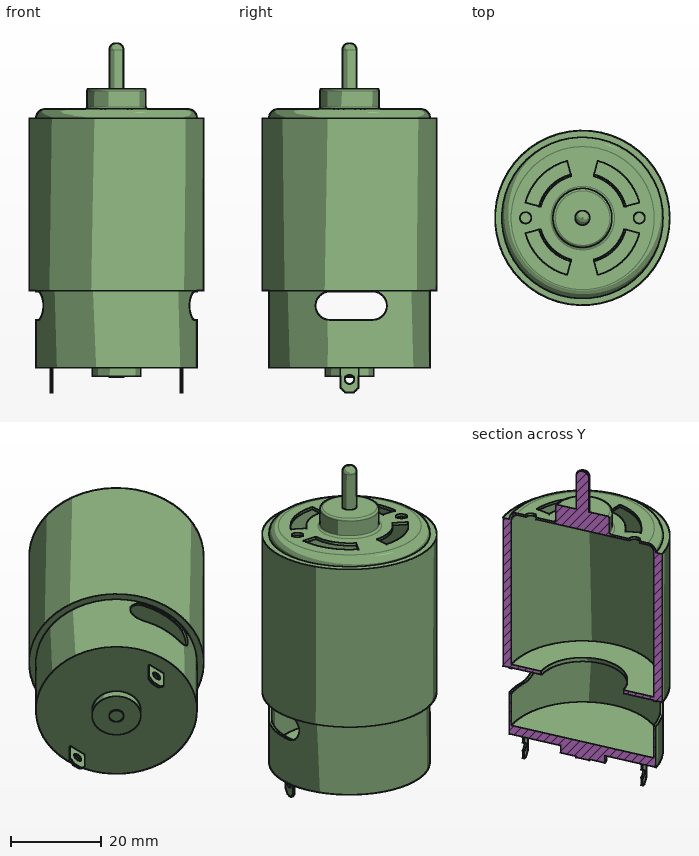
import cadquery as cq
import math

CAN_DIAMETER = 35.5
CAN_INNER_DIAMETER = 34.26
WALL_THICKNESS = (CAN_DIAMETER - CAN_INNER_DIAMETER) / 2
CAN_HEIGHT = 57.0
CAN_RIM_RADIUS = 2.0
REAR_CAP_THICKNESS = 2.4

RING_DIAMETER = 38.5
RING_BOTTOM = 17.0
RING_TOP = CAN_HEIGHT - CAN_RIM_RADIUS

BOSS_DIAMETER = 13.0
BOSS_HEIGHT = 4.5
BOSS_EDGE_RADIUS = 0.5

SHELF_BORE_DIAMETER = 19.8
SHELF_THICKNESS = 1.0

SHAFT_DIAMETER = 3.2
SHAFT_PROJECTION = 10.0
SHAFT_TIP_RADIUS = 1.5
SHAFT_REAR_PROJECTION = 2.1

REAR_BOSS_DIAMETER = 10.75
REAR_BOSS_HEIGHT = 1.85

VENT_INNER_RADIUS = 9.5
VENT_OUTER_RADIUS = 13.0
VENT_SPAN = 60.0
VENT_COUNT = 4
SCREW_HOLE_DIAMETER = 2.5
SCREW_HOLE_SPACING = 25.0

WINDOW_LENGTH = 15.65
WINDOW_HEIGHT = 6.2
WINDOW_Y_OFFSET = 0.38
WINDOW_RING_GAP = 0.2
WINDOW_TOP = RING_BOTTOM - WINDOW_RING_GAP

TERMINAL_OFFSET = 14.3
TERMINAL_THICKNESS = 0.5
TERMINAL_WIDTH = 4.0
TERMINAL_LENGTH = 5.45
TERMINAL_CHAMFER = 1.1
TERMINAL_HOLE_DIAMETER = 2.0
TERMINAL_HOLE_DROP = 2.5


def cylinder(diameter, bottom, top):
    """Cylinder about the Z axis between two heights."""
    return cq.Workplane("XY").workplane(offset=bottom).circle(diameter / 2).extrude(top - bottom)


def make_can():
    """Thin-walled can with its flux ring, closed by the front plate and the rear cap."""
    can = cylinder(CAN_DIAMETER, 0, CAN_HEIGHT).faces(">Z").edges().fillet(CAN_RIM_RADIUS)
    ring = cylinder(RING_DIAMETER, RING_BOTTOM, RING_TOP)
    cavity = cylinder(CAN_INNER_DIAMETER, REAR_CAP_THICKNESS, CAN_HEIGHT - WALL_THICKNESS)
    cavity = cavity.faces(">Z").edges().fillet(CAN_RIM_RADIUS - WALL_THICKNESS)
    return can.union(ring).cut(cavity).union(make_shelf())


def make_shelf():
    """Annular shelf; it runs into the can wall so that the two join."""
    shelf_top = RING_BOTTOM + SHELF_THICKNESS
    shelf = cylinder(CAN_DIAMETER, RING_BOTTOM, shelf_top)
    return shelf.cut(cylinder(SHELF_BORE_DIAMETER, RING_BOTTOM, shelf_top))


def polar_point(radius, angle):
    """XY point at a radius and an angle in degrees."""
    return (radius * math.cos(math.radians(angle)), radius * math.sin(math.radians(angle)))


def make_vent(middle_angle):
    """Cutter for one arc-shaped vent centered on an angle."""
    start = middle_angle - VENT_SPAN / 2
    end = middle_angle + VENT_SPAN / 2
    return (
        cq.Workplane("XY")
        .workplane(offset=CAN_HEIGHT - WALL_THICKNESS)
        .moveTo(*polar_point(VENT_INNER_RADIUS, start))
        .lineTo(*polar_point(VENT_OUTER_RADIUS, start))
        .threePointArc(polar_point(VENT_OUTER_RADIUS, middle_angle), polar_point(VENT_OUTER_RADIUS, end))
        .lineTo(*polar_point(VENT_INNER_RADIUS, end))
        .threePointArc(polar_point(VENT_INNER_RADIUS, middle_angle), polar_point(VENT_INNER_RADIUS, start))
        .close()
        .extrude(WALL_THICKNESS)
    )


def make_screw_holes():
    """Cutter for the two screw holes through the front plate."""
    return (
        cq.Workplane("XY")
        .workplane(offset=CAN_HEIGHT - WALL_THICKNESS)
        .pushPoints([(-SCREW_HOLE_SPACING / 2, 0), (SCREW_HOLE_SPACING / 2, 0)])
        .circle(SCREW_HOLE_DIAMETER / 2)
        .extrude(WALL_THICKNESS)
    )


def make_windows():
    """Cutter for the two opposite side windows."""
    return (
        cq.Workplane("YZ")
        .center(WINDOW_Y_OFFSET, WINDOW_TOP - WINDOW_HEIGHT / 2)
        .slot2D(WINDOW_LENGTH, WINDOW_HEIGHT)
        .extrude(CAN_DIAMETER / 2, both=True)
    )


def make_front_boss():
    """Front bearing boss with a concave flare at its foot, and the shaft."""
    boss_top = CAN_HEIGHT + BOSS_HEIGHT
    boss = cylinder(BOSS_DIAMETER, CAN_HEIGHT, boss_top).faces(">Z").edges().fillet(BOSS_EDGE_RADIUS)
    shaft = cylinder(SHAFT_DIAMETER, CAN_HEIGHT, boss_top + SHAFT_PROJECTION)
    flare_diameter = BOSS_DIAMETER + 2 * BOSS_EDGE_RADIUS
    flare = cylinder(flare_diameter, CAN_HEIGHT, CAN_HEIGHT + BOSS_EDGE_RADIUS)
    rounding_center = cq.Vector(0, 0, CAN_HEIGHT + BOSS_EDGE_RADIUS)
    rounding = cq.Solid.makeTorus(flare_diameter / 2, BOSS_EDGE_RADIUS, rounding_center)
    boss = boss.union(flare.cut(rounding))
    return boss.union(shaft.faces(">Z").edges().fillet(SHAFT_TIP_RADIUS))


def make_rear_boss():
    """Rear bearing boss and the end of the shaft."""
    boss = cylinder(REAR_BOSS_DIAMETER, -REAR_BOSS_HEIGHT, 0)
    return boss.union(cylinder(SHAFT_DIAMETER, -SHAFT_REAR_PROJECTION, 0))


def make_terminal(x):
    """Flat terminal blade with chamfered corners and a wire hole."""
    blade = (
        cq.Workplane("XY")
        .box(TERMINAL_THICKNESS, TERMINAL_WIDTH, TERMINAL_LENGTH, centered=(True, True, False))
        .translate((x, 0, -TERMINAL_LENGTH))
        .faces("<Z")
        .edges("|X")
        .chamfer(TERMINAL_CHAMFER)
    )
    hole = (
        cq.Workplane("YZ")
        .workplane(offset=x)
        .center(0, -TERMINAL_HOLE_DROP)
        .circle(TERMINAL_HOLE_DIAMETER / 2)
        .extrude(TERMINAL_THICKNESS, both=True)
    )
    return blade.cut(hole)


def make_motor():
    """Complete motor as one solid."""
    motor = make_can().cut(make_screw_holes()).cut(make_windows())
    for index in range(VENT_COUNT):
        motor = motor.cut(make_vent((index + 0.5) * 360 / VENT_COUNT))
    motor = motor.union(make_front_boss()).union(make_rear_boss())
    for side in (-1, 1):
        motor = motor.union(make_terminal(side * TERMINAL_OFFSET))
    return motor


result = make_motor()